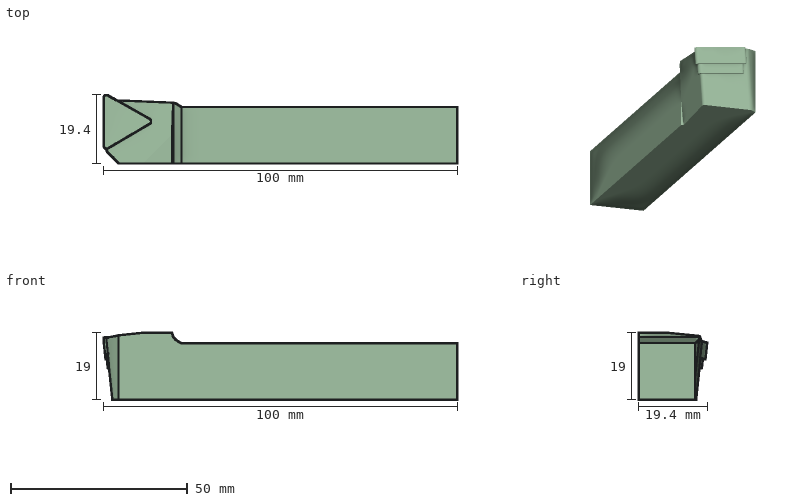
import cadquery as cq
import math


tool_length = 100.0
shank_size = 16.0

seat_angle = 6.0
nose_offset = 20.0
nose_height = 16.0

inscribed_circle = 9.525
nose_radius = 0.8
insert_thickness = 4.76

shim_inset = 0.35
shim_radius = 1.0
shim_thickness = 2.65

head_height = 19.0
head_drop = 0.28
head_front_inset = 0.7
head_side_inset = 1.93
head_side_angle = 3.0
front_chamfer = 4.25
chamfer_corner_radius = 2.0
nose_corner_radius = 0.9

step_top_x = 19.3
step_arc_x = 19.75
step_arc_z = 17.7
step_end_x = 22.0
step_sag = 0.15
shoulder_y = 17.4

slope = math.tan(math.radians(seat_angle))
reach = tool_length

seat_normal = cq.Vector(-slope, slope, 1).normalized()
edge_direction = cq.Vector(0, 1, -slope).normalized()
seat = cq.Plane(
    origin=(0, nose_offset, nose_height),
    xDir=edge_direction.cross(seat_normal),
    normal=seat_normal,
)


def triangle_plate(inset, corner_radius, top, thickness):
    """Rounded triangular plate hanging down from local height `top`."""
    in_radius = inscribed_circle / 2
    half_edge = in_radius * math.sqrt(3)
    scale = (in_radius - inset) / in_radius
    corners = [(-in_radius, half_edge), (2 * in_radius, 0), (-in_radius, -half_edge)]
    return (
        cq.Workplane(seat)
        .workplane(offset=top)
        .center(in_radius, -half_edge)
        .polyline([(x * scale, y * scale) for x, y in corners])
        .close()
        .extrude(-thickness)
        .edges(cq.selectors.ParallelDirSelector(seat_normal))
        .fillet(corner_radius)
    )


def head_prism():
    """Front, side and chamfer faces of the head, all square to the seat."""
    side_fall = math.tan(math.radians(head_side_angle))
    chamfer_y = seat.toLocalCoords(
        cq.Vector(head_front_inset, front_chamfer - head_front_inset, nose_height + slope * nose_offset)
    ).y
    corner_x = head_front_inset
    far_x = 2 * step_end_x
    low_y = chamfer_y - (far_x - corner_x)
    outline = [
        (corner_x, -head_side_inset - side_fall * corner_x),
        (far_x, -head_side_inset - side_fall * far_x),
        (far_x, low_y),
        (corner_x, chamfer_y),
    ]
    prism = cq.Workplane(seat).polyline(outline).close().extrude(reach, both=True)
    long_edges = cq.selectors.ParallelDirSelector(seat_normal)

    def corner_edge(y):
        return cq.selectors.NearestToPointSelector(seat.toWorldCoords((corner_x, y, 0)).toTuple())

    prism = prism.edges(long_edges).edges(corner_edge(chamfer_y)).fillet(chamfer_corner_radius)
    return prism.edges(long_edges).edges(corner_edge(outline[0][1])).fillet(nose_corner_radius)


def sagged_middle(start, end):
    """Midpoint of a shallow arc that bows towards the lower left of the chord."""
    run = end[0] - start[0]
    fall = start[1] - end[1]
    chord = math.hypot(run, fall)
    return (
        (start[0] + end[0]) / 2 - step_sag * fall / chord,
        (start[1] + end[1]) / 2 - step_sag * run / chord,
    )


def head_block():
    """Head between base and top, ending in the step down and in to the shank."""
    step_start = (step_arc_x, step_arc_z)
    step_end = (step_end_x, shank_size)
    profile = (
        cq.Workplane("XZ")
        .moveTo(0, 0)
        .lineTo(0, head_height)
        .lineTo(step_top_x, head_height)
        .lineTo(*step_start)
        .threePointArc(sagged_middle(step_start, step_end), step_end)
        .lineTo(step_end_x, 0)
        .close()
        .extrude(-2 * nose_offset)
    )
    plan = (
        cq.Workplane("XY")
        .moveTo(0, 0)
        .lineTo(0, 2 * nose_offset)
        .lineTo(step_arc_x, 2 * nose_offset)
        .lineTo(step_arc_x, shoulder_y)
        .lineTo(step_end_x, shank_size)
        .lineTo(step_end_x, 0)
        .close()
        .extrude(head_height)
    )
    above_seat = (
        cq.Workplane(seat)
        .workplane(offset=-head_drop)
        .rect(reach, reach)
        .extrude(head_height)
    )
    return profile.intersect(plan).intersect(head_prism()).cut(above_seat)


def holder_body(insert_body):
    """Shank, head and shim in one, with the pocket that the insert fills."""
    shank = cq.Workplane("XY").box(
        tool_length - step_end_x, shank_size, shank_size, centered=False
    ).translate((step_end_x, 0, 0))
    shim = triangle_plate(shim_inset, shim_radius, -insert_thickness, shim_thickness)
    return head_block().union(shank).cut(insert_body).union(shim)


insert = triangle_plate(0, nose_radius, 0, insert_thickness)
holder = holder_body(insert)

result = cq.Compound.makeCompound([holder.val(), insert.val()])